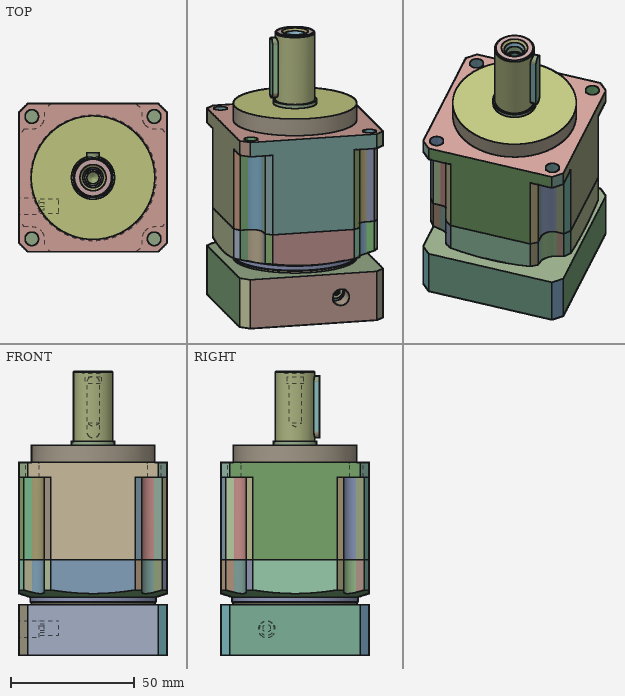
import cadquery as cq
import math

width = 60.0
corner_chamfer = 3.6

adapter_top = 20.5
neck_bottom = 21.3
case_bottom = 23.5
case_top = 38.7
flange_bottom = 72.0
flange_top = 78.0
pilot_top = 85.0
collar_top = 86.5
shaft_top = 115.0

pilot_diameter = 50.0

bolt_circle = 70.0
bolt_hole_diameter = 5.5
bolt_offset = bolt_circle / 2 / math.sqrt(2)

relief_radius = 5.0
relief_wall = bolt_offset - relief_radius
relief_lip = 28.0
bevel_start = 17.0

neck_diameter = 51.0
neck_chamfer = 0.4
underside_angle = 18.0

shaft_diameter = 16.0
shaft_chamfer = 0.5
collar_diameter = 17.5

bevel_diameter = 10.6
countersink_diameter = 8.2
clearance_diameter = 6.6
core_diameter = 5.0
bevel_depth = 0.9
countersink_depth = 2.3
clearance_depth = 5.0
core_depth = 21.0
drill_tip_angle = 118.0

key_width = 5.0
key_length = 25.0
key_height = 10.0
key_bottom = 88.0

access_diameter = 6.8
access_depth = 8.0
access_y = -11.5
access_z = 10.6
screw_diameter = 5.8
screw_length = 8.0
screw_rise = 0.45
screw_z = access_z + screw_rise
socket_flats = 3.0
socket_depth = 2.0


def square_block(bottom, top):
    """Square block with chamfered vertical corners."""
    block = cq.Workplane("XY").workplane(offset=bottom).rect(width, width).extrude(top - bottom)
    return block.edges("|Z").chamfer(corner_chamfer)


def cylinder(diameter, bottom, top):
    return cq.Workplane("XY").workplane(offset=bottom).circle(diameter / 2).extrude(top - bottom)


def relief_cutter(bottom, top):
    """Corner cutter for the (+X, +Y) corner: two bevels, two walls and a round root."""
    half = width / 2
    root_middle = bolt_offset - relief_radius * math.sqrt(0.5)
    return (
        cq.Workplane("XY").workplane(offset=bottom)
        .moveTo(half, bevel_start)
        .lineTo(relief_lip, relief_wall)
        .lineTo(bolt_offset, relief_wall)
        .threePointArc((root_middle, root_middle), (relief_wall, bolt_offset))
        .lineTo(relief_wall, relief_lip)
        .lineTo(bevel_start, half)
        .lineTo(half, half)
        .close()
        .extrude(top - bottom)
    )


def cut_reliefs(body, bottom, top):
    for corner in range(4):
        body = body.cut(relief_cutter(bottom, top).rotate((0, 0, 0), (0, 0, 1), 90 * corner))
    return body


def make_housing():
    """Flanged output housing with a round pilot."""
    body = cq.Workplane("XY").workplane(offset=case_top).rect(width, width).extrude(flange_bottom - case_top)
    body = cut_reliefs(body, case_top, flange_bottom)
    body = body.union(square_block(flange_bottom, flange_top))
    body = body.union(cylinder(pilot_diameter, flange_top, pilot_top))
    holes = (
        cq.Workplane("XY").workplane(offset=flange_bottom)
        .rect(2 * bolt_offset, 2 * bolt_offset, forConstruction=True)
        .vertices().circle(bolt_hole_diameter / 2).extrude(flange_top - flange_bottom)
    )
    return body.cut(holes)


def make_ring_case():
    """Ring gear case: same section as the housing, conical underside and a round neck."""
    body = cq.Workplane("XY").workplane(offset=case_bottom).rect(width, width).extrude(case_top - case_bottom)
    body = cut_reliefs(body, case_bottom, case_top)

    neck_radius = neck_diameter / 2
    outer_radius = width / math.sqrt(2)
    cone_rise = (outer_radius - neck_radius) * math.tan(math.radians(underside_angle))
    turned = (
        cq.Workplane("XZ")
        .moveTo(0, case_bottom)
        .lineTo(neck_radius, case_bottom)
        .lineTo(outer_radius, case_bottom + cone_rise)
        .lineTo(outer_radius, case_top)
        .lineTo(0, case_top)
        .close()
        .revolve(360, (0, 0, 0), (0, 1, 0))
    )
    body = body.intersect(turned)

    neck = cylinder(neck_diameter, neck_bottom, case_bottom).faces("<Z").chamfer(neck_chamfer)
    spigot = cylinder(neck_diameter - 2 * neck_chamfer, adapter_top, neck_bottom)
    return body.union(neck).union(spigot)


def make_shaft():
    """Output shaft with collar, centre hole and a round-ended key formed on its +Y side."""
    body = cylinder(shaft_diameter, collar_top, shaft_top).faces(">Z").chamfer(shaft_chamfer)
    body = body.union(cylinder(collar_diameter, pilot_top, collar_top))

    key = (
        cq.Workplane("XZ")
        .center(0, key_bottom + key_length / 2)
        .slot2D(key_length, key_width, 90)
        .extrude(-key_height)
    )
    body = body.union(key)

    core_radius = core_diameter / 2
    tip_length = core_radius / math.tan(math.radians(drill_tip_angle / 2))
    centre_hole = (
        cq.Workplane("XZ")
        .moveTo(0, shaft_top)
        .lineTo(bevel_diameter / 2, shaft_top)
        .lineTo(countersink_diameter / 2, shaft_top - bevel_depth)
        .lineTo(clearance_diameter / 2, shaft_top - countersink_depth)
        .lineTo(clearance_diameter / 2, shaft_top - clearance_depth)
        .lineTo(core_radius, shaft_top - clearance_depth)
        .lineTo(core_radius, shaft_top - core_depth)
        .lineTo(0, shaft_top - core_depth - tip_length)
        .close()
        .revolve(360, (0, 0, 0), (0, 1, 0))
    )
    return body.cut(centre_hole)


def side_cylinder(diameter, z, depth, length):
    """Cylinder along +X, starting at the given depth below the -X side."""
    return (
        cq.Workplane("YZ").workplane(offset=depth - width / 2)
        .center(access_y, z).circle(diameter / 2).extrude(length)
    )


def make_adapter():
    """Motor adapter with the access hole and a recess fitting the clamping screw."""
    body = square_block(0, adapter_top)
    body = body.cut(side_cylinder(access_diameter, access_z, 0, access_depth))
    return body.cut(side_cylinder(screw_diameter, screw_z, access_depth, screw_length))


def make_screw():
    """Headless clamping screw with a hexagon socket, one corner of the hexagon pointing up."""
    socket = (
        cq.Workplane("YZ").workplane(offset=access_depth - width / 2)
        .center(access_y, screw_z)
        .transformed(rotate=(0, 0, 90))
        .polygon(6, socket_flats / math.cos(math.radians(30)))
        .extrude(socket_depth)
    )
    return side_cylinder(screw_diameter, screw_z, access_depth, screw_length).cut(socket)


housing = make_housing()
ring_case = make_ring_case()
shaft = make_shaft()
adapter = make_adapter()
screw = make_screw()

result = cq.Compound.makeCompound(
    [housing.val(), ring_case.val(), shaft.val(), adapter.val(), screw.val()]
)